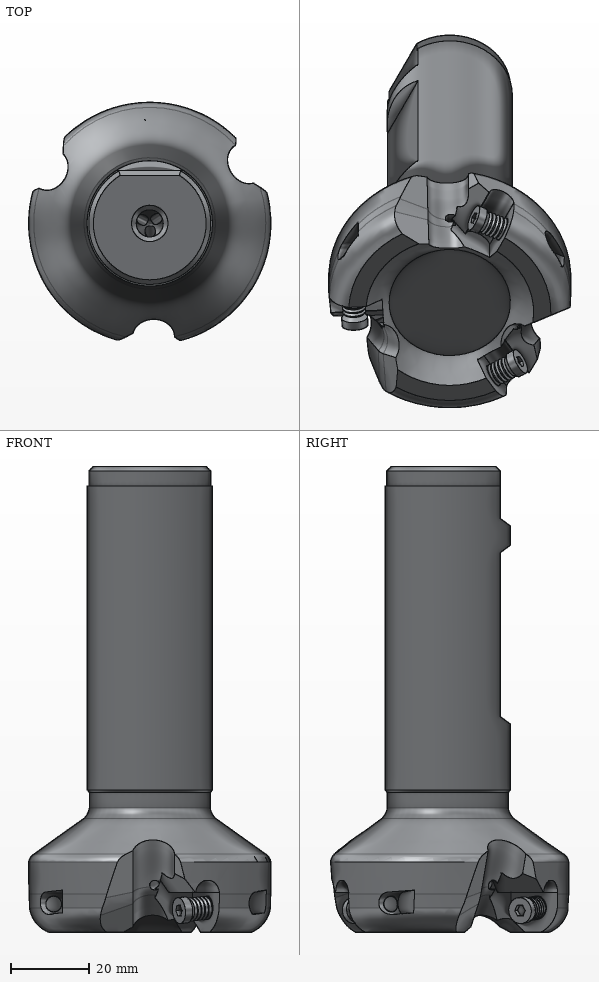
import cadquery as cq
import math

total_height = 118.9
stations = 3
station_angle = 360.0 / stations
clearance = 1.2

head_radius = 30.9
rim_top_radius = 29.6
rim_top_z = 20.0
rim_bottom_z = 18.0
nose_top_z = 9.7
nose_z = 6.2
nose_taper = 0.1
nose_flat_radius = 25.8
nose_bulge = 1.1
recess_mouth_radius = 21.4
recess_top_radius = 15.5
recess_depth = 5.0

shank_diameter = 32.0
shank_radius = shank_diameter / 2
neck_radius = 15.5
cone_top_radius = 16.8
cone_top_z = 29.1
neck_bottom_z = 31.7
neck_top_z = 35.7
shank_start_z = 36.4
collar_z = 113.9
collar_radius = 15.6
top_chamfer = 1.2
corner_sag = 0.18

flat_y = 13.4
flat_ramp = 1.9
upper_flat_z = 105.5
lower_flat_top_z = 96.9
lower_flat_bottom_z = 55.0

bore_radius = 3.5
bore_mouth_radius = 4.6
bore_bottom_z = 19.0
drill_cone_height = 2.0
duct_radius = 1.3
duct_outlet_x = 1.4
duct_outlet_y = -22.6
duct_outlet_z = 11.4

flute_radius = 5.3
flute_x = 1.0
flute_top_y = -32.6
flute_top_z = 30.9
flute_tilt = 18.5
flute_upper_length = 22.1
flute_bend_radius = 14.3
flute_lower_tilt = 33.0
flute_lower_length = 11.9
flute_wall_angle = 33.0
flute_wall_length = 21.4
flute_flare_angle = 45.0
flute_edge_angle = 168.0

screw_x = -24.5
seat_y = -2.7
seat_screw_z = 6.3
screw_rise = 5.0
pocket_inner_x = -17.1
pocket_mouth_y = 8.3
pocket_top_z = 10.2
pocket_ramp_y = 4.3
pocket_mouth_z = 15.2
pocket_floor_z = -clearance
relief_radius = 3.5
relief_z = 9.9
slot_floor_x = -22.2
slot_width = 5.7
slot_inner_y = -13.2
outside = head_radius + clearance

thread_radius = 3.0
thread_root_radius = 2.5
thread_pitch = 1.1
screw_head_radius = 3.3
screw_head_length = 2.1
screw_cone_length = 1.1
screw_head_stickout = 8.3
screw_tip_depth = 10.7
tip_radius = 2.0
tip_length = 1.4
socket_across = 3.1
socket_depth = 1.4


def spun(shape, index):
    return shape.rotate((0, 0, 0), (0, 0, 1), index * station_angle)


def turned_blank():
    nose_radius_top = head_radius - nose_taper
    chord_x = nose_radius_top - nose_flat_radius
    chord = math.hypot(chord_x, nose_z)
    nose_mid = (
        (nose_radius_top + nose_flat_radius) / 2 + nose_bulge * nose_z / chord,
        nose_z / 2 - nose_bulge * chord_x / chord,
    )
    rim_mid = (
        (head_radius + rim_top_radius) / 2 + corner_sag,
        (rim_top_z + rim_bottom_z) / 2 + corner_sag,
    )
    neck_mid = (
        (cone_top_radius + neck_radius) / 2 - corner_sag,
        (cone_top_z + neck_bottom_z) / 2 - corner_sag,
    )
    return (
        cq.Workplane("XZ")
        .moveTo(0, recess_depth)
        .lineTo(recess_top_radius, recess_depth)
        .lineTo(recess_mouth_radius, 0)
        .lineTo(nose_flat_radius, 0)
        .threePointArc(nose_mid, (nose_radius_top, nose_z))
        .lineTo(head_radius, nose_top_z)
        .lineTo(head_radius, rim_bottom_z)
        .threePointArc(rim_mid, (rim_top_radius, rim_top_z))
        .lineTo(cone_top_radius, cone_top_z)
        .threePointArc(neck_mid, (neck_radius, neck_bottom_z))
        .lineTo(neck_radius, neck_top_z)
        .lineTo(shank_radius, shank_start_z)
        .lineTo(shank_radius, collar_z)
        .lineTo(collar_radius, collar_z)
        .lineTo(collar_radius, total_height)
        .lineTo(0, total_height)
        .close()
        .revolve(360, (0, 0, 0), (0, 1, 0))
    )


def flat_cutter(bottom_z, top_z, top_is_open):
    """Prism that mills a flat between two heights, with ramps that rise to the shank surface."""
    ramp_slope = flat_ramp / (shank_radius - flat_y)
    outer_y = shank_radius + clearance
    reach = ramp_slope * (outer_y - flat_y)
    top_reach = 0 if top_is_open else reach
    return (
        cq.Workplane("YZ")
        .polyline([
            (flat_y, bottom_z),
            (outer_y, bottom_z - reach),
            (outer_y, top_z + top_reach),
            (flat_y, top_z),
        ])
        .close()
        .extrude(shank_radius, both=True)
    )


def coolant_bore():
    mouth_depth = bore_mouth_radius - bore_radius
    return (
        cq.Workplane("XZ")
        .polyline([
            (0, bore_bottom_z - drill_cone_height),
            (bore_radius, bore_bottom_z),
            (bore_radius, total_height - mouth_depth),
            (bore_mouth_radius, total_height),
            (0, total_height),
        ])
        .close()
        .revolve(360, (0, 0, 0), (0, 1, 0))
    )


def coolant_duct():
    start = cq.Vector(0, 0, bore_bottom_z)
    run = cq.Vector(duct_outlet_x, duct_outlet_y, duct_outlet_z) - start
    return cq.Workplane(cq.Solid.makeCylinder(duct_radius, run.Length, start, run))


def flute_cutter():
    """Flute section swept down a path that leans inward and then bends further inward."""
    tilt = math.radians(flute_tilt)
    lower_tilt = math.radians(flute_lower_tilt)
    mid_tilt = (tilt + lower_tilt) / 2

    def down(angle, length):
        return cq.Vector(0, length * math.sin(angle), -length * math.cos(angle))

    start = cq.Vector(flute_x, flute_top_y, flute_top_z)
    bend_start = start + down(tilt, flute_upper_length)

    def on_bend(angle):
        return bend_start + cq.Vector(
            0,
            flute_bend_radius * (math.cos(tilt) - math.cos(angle)),
            flute_bend_radius * (math.sin(tilt) - math.sin(angle)),
        )

    bend_end = on_bend(lower_tilt)
    path = cq.Wire.assembleEdges([
        cq.Edge.makeLine(start, bend_start),
        cq.Edge.makeThreePointArc(bend_start, on_bend(mid_tilt), bend_end),
        cq.Edge.makeLine(bend_end, bend_end + down(lower_tilt, flute_lower_length)),
    ])

    edge = math.radians(flute_edge_angle)
    wall = math.radians(flute_wall_angle)
    flare = math.radians(flute_flare_angle)
    left = (flute_radius * math.cos(edge), flute_radius * math.sin(edge))
    left_out = (
        left[0] - flute_wall_length * math.cos(wall),
        left[1] - flute_wall_length * math.sin(wall),
    )
    right_out = (flute_radius - left_out[1] * math.tan(flare), left_out[1])
    section_plane = cq.Plane(origin=start.toTuple(), xDir=(1, 0, 0), normal=(-down(tilt, 1)).toTuple())
    return (
        cq.Workplane(section_plane)
        .moveTo(*left)
        .threePointArc((0, flute_radius), (flute_radius, 0))
        .lineTo(*right_out)
        .lineTo(*left_out)
        .close()
        .sweep(cq.Workplane(path))
    )


def along_screw(shape):
    """Leans a shape built at the seat centre, pointing along -Y, onto the screw axis."""
    return shape.rotate((0, 0, 0), (1, 0, 0), -screw_rise).translate((screw_x, seat_y, seat_screw_z))


def pocket_cutter():
    """Insert seat with a rising roof on the flute side and a round relief above the seat."""
    width = outside + pocket_inner_x
    pocket = (
        cq.Workplane("YZ", origin=(-outside, 0, 0))
        .polyline([
            (seat_y, pocket_floor_z),
            (pocket_mouth_y, pocket_floor_z),
            (pocket_mouth_y, pocket_mouth_z),
            (pocket_ramp_y, pocket_top_z),
            (seat_y, pocket_top_z),
        ])
        .close()
        .extrude(width)
    )
    relief = (
        cq.Workplane("YZ", origin=(-outside, 0, 0))
        .center(seat_y + relief_radius, relief_z)
        .circle(relief_radius)
        .extrude(width)
    )
    return pocket.union(relief)


def slot_cutter():
    """Slot that opens the tip end of the screw hole to the outside of the head."""
    length = outside
    slot = (
        cq.Workplane("YZ")
        .center(slot_inner_y - seat_y - length / 2, 0)
        .slot2D(length, slot_width)
        .extrude(-outside)
    ).translate((slot_floor_x - screw_x, 0, 0))
    return along_screw(slot)


def screw_hole_cutter():
    """Hole for the thread, started clear of the seat, then a tip-size hole on into the slot."""
    thread_hole = (
        cq.Workplane("XZ", origin=(0, pocket_ramp_y, 0))
        .circle(thread_radius)
        .extrude(pocket_ramp_y + screw_tip_depth - tip_length)
    )
    tip_hole = cq.Workplane("XZ").circle(tip_radius).extrude(screw_tip_depth + slot_width)
    return along_screw(thread_hole.union(tip_hole))


def make_cutter_body():
    body = turned_blank()
    body = body.cut(flat_cutter(upper_flat_z, total_height + clearance, True))
    body = body.cut(flat_cutter(lower_flat_bottom_z, lower_flat_top_z, False))
    body = body.faces(">Z").chamfer(top_chamfer)
    body = body.cut(coolant_bore())
    station_cutters = [
        coolant_duct(), flute_cutter(), pocket_cutter(), slot_cutter(), screw_hole_cutter(),
    ]
    for index in range(stations):
        for cutter in station_cutters:
            body = body.cut(spun(cutter, index))
    return body.solids()


def make_screw():
    """Screw along -Y: cone head with a hex socket, ringed thread and a plain tip."""
    shoulder = screw_head_stickout - screw_head_length
    thread_start = shoulder - screw_cone_length
    thread_end = tip_length - screw_tip_depth
    ring_count = int((thread_start - thread_end) / thread_pitch)
    points = [
        (0, screw_head_stickout),
        (screw_head_radius, screw_head_stickout),
        (screw_head_radius, shoulder),
        (thread_root_radius, thread_start),
    ]
    for ring in range(ring_count):
        crest_y = thread_start - (ring + 0.5) * thread_pitch
        points.append((thread_radius, crest_y))
        points.append((thread_root_radius, crest_y - thread_pitch / 2))
    points += [(tip_radius, thread_end), (tip_radius, -screw_tip_depth), (0, -screw_tip_depth)]
    screw = cq.Workplane("XY").polyline(points).close().revolve(360, (0, 0, 0), (0, 1, 0))
    socket = (
        cq.Workplane("XZ", origin=(0, screw_head_stickout, 0))
        .polygon(6, socket_across)
        .extrude(socket_depth)
    )
    return along_screw(screw.cut(socket)).solids()


cutter_body = make_cutter_body()
insert_screw = make_screw()
screws = [spun(insert_screw, index) for index in range(stations)]

result = cq.Compound.makeCompound([cutter_body.val(), *[screw.val() for screw in screws]])